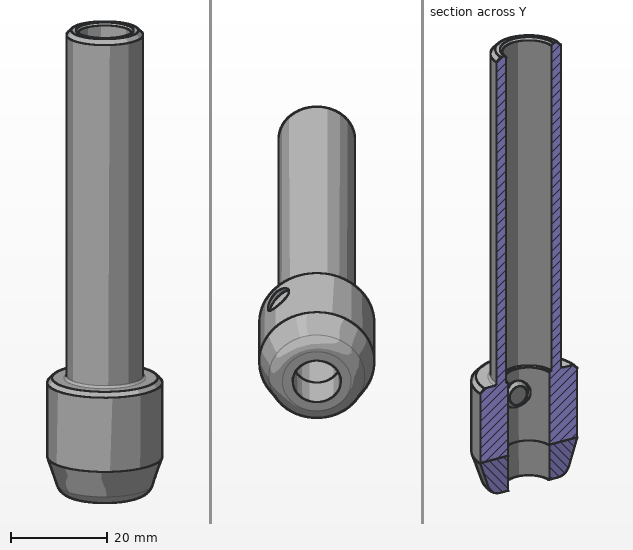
import cadquery as cq
import math

total_length = 100.0
nose_height = 8.0
collar_top = 25.0

shank_radius = 8.0
collar_radius = 12.0
edge_chamfer = 1.0
root_fillet = 0.5

shank_bore_radius = 5.5
lower_bore_radius = 5.0
mouth_chamfer = 0.5
bore_step_tilt = 30.0
bore_step_drop = (shank_bore_radius - lower_bore_radius) * math.tan(math.radians(bore_step_tilt))

nose_end_radius = 9.3
nose_fillet = 3.0

screw_radius = 3.0
screw_height = 19.0
screw_tip_y = 4.1
screw_head_y = 11.0
screw_tip_chamfer = 0.9


def cylinder_along_y(radius, start_y, end_y):
    """Cylinder parallel to Y at the screw height."""
    plane = cq.Plane(origin=(0, start_y, screw_height), xDir=(1, 0, 0), normal=(0, 1, 0))
    return cq.Workplane(plane).circle(radius).extrude(end_y - start_y)


def make_body():
    """Hollow shank with a stout collar and a radial hole for the set screw."""
    profile = (
        cq.Workplane("XZ")
        .moveTo(lower_bore_radius, nose_height)
        .lineTo(collar_radius, nose_height)
        .lineTo(collar_radius, collar_top - edge_chamfer)
        .lineTo(collar_radius - edge_chamfer, collar_top)
        .lineTo(shank_radius + root_fillet, collar_top)
        .radiusArc((shank_radius, collar_top + root_fillet), root_fillet)
        .lineTo(shank_radius, total_length - edge_chamfer)
        .lineTo(shank_radius - edge_chamfer, total_length)
        .lineTo(shank_bore_radius + mouth_chamfer, total_length)
        .lineTo(shank_bore_radius, total_length - mouth_chamfer)
        .lineTo(shank_bore_radius, collar_top)
        .lineTo(lower_bore_radius, collar_top - bore_step_drop)
        .close()
    )
    body = profile.revolve(360, (0, 0, 0), (0, 1, 0))
    return body.cut(cylinder_along_y(screw_radius, 0, collar_radius))


def make_nose():
    """Tapered ring under the collar with a rounded lower rim."""
    profile = (
        cq.Workplane("XZ")
        .lineTo(nose_end_radius, 0)
        .lineTo(collar_radius, nose_height)
        .lineTo(0, nose_height)
        .close()
    )
    cone = profile.revolve(360, (0, 0, 0), (0, 1, 0))
    rounded_cone = cone.faces("<Z").edges().fillet(nose_fillet)
    bore = cq.Workplane("XY").circle(lower_bore_radius).extrude(nose_height)
    return rounded_cone.cut(bore)


def make_screw():
    """Set screw whose chamfered tip reaches into the bore."""
    screw = cylinder_along_y(screw_radius, screw_tip_y, screw_head_y)
    return screw.faces("<Y").chamfer(screw_tip_chamfer)


body = make_body()
nose = make_nose()
screw = make_screw()

result = cq.Compound.makeCompound([body.val(), nose.val(), screw.val()])